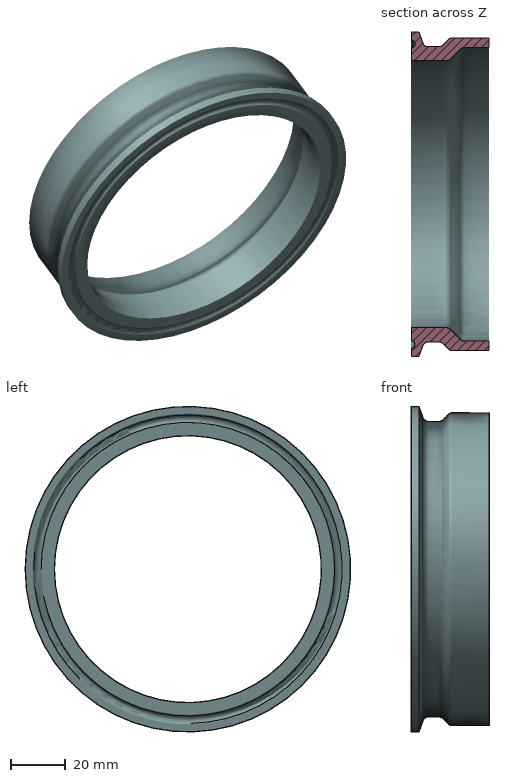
import cadquery as cq
import math

length = 28.5
flange_radius = 118.9 / 2
neck_radius = 108.1 / 2
collar_radius = 114.3 / 2
bore_radius = 97.4 / 2

rim_width = 2.9
flange_back_angle = math.radians(20)
flange_fillet = 1.7
neck_end = 10.5
collar_start = 14.7
shoulder_fillet = 1.5

groove_outer_radius = 56.4
groove_inner_radius = 53.5
groove_depth = 1.3
groove_edge_fillet = 0.5

wide_bore_radius = 107.0 / 2
bore_step_start = 13.7
bore_step_end = bore_step_start + wide_bore_radius - bore_radius

edge_tolerance = 0.01


def revolve_about_x(profile):
    return profile.revolve(360, (0, 0, 0), (1, 0, 0))


def ring_edge(body, x, radius):
    """Circular edge of the body at a given place along X and radius."""
    low = (x - edge_tolerance, -radius - edge_tolerance, -radius - edge_tolerance)
    high = (x + edge_tolerance, radius + edge_tolerance, radius + edge_tolerance)
    inside = body.edges(cq.selectors.BoxSelector(low, high, boundingbox=True))
    return inside.edges(cq.selectors.RadiusNthSelector(-1))


def make_ring():
    neck_start = rim_width + (flange_radius - neck_radius) * math.tan(flange_back_angle)
    shoulder_rise = collar_radius - neck_radius
    shoulder_middle = (neck_end + collar_start) / 2
    cone_start = shoulder_middle - shoulder_rise / 2
    cone_end = shoulder_middle + shoulder_rise / 2
    ring = revolve_about_x(
        cq.Workplane("XY")
        .moveTo(0, bore_radius)
        .lineTo(0, flange_radius)
        .lineTo(rim_width, flange_radius)
        .lineTo(neck_start, neck_radius)
        .lineTo(cone_start, neck_radius)
        .lineTo(cone_end, collar_radius)
        .lineTo(length, collar_radius)
        .lineTo(length, wide_bore_radius)
        .lineTo(bore_step_end, wide_bore_radius)
        .lineTo(bore_step_start, bore_radius)
        .close()
    )
    ring = ring_edge(ring, neck_start, neck_radius).fillet(flange_fillet)
    ring = ring_edge(ring, cone_start, neck_radius).fillet(shoulder_fillet)
    ring = ring_edge(ring, cone_end, collar_radius).fillet(shoulder_fillet)
    ring = ring_edge(ring, bore_step_start, bore_radius).fillet(shoulder_fillet)
    return ring_edge(ring, bore_step_end, wide_bore_radius).fillet(shoulder_fillet)


def cut_face_groove(ring):
    groove_middle = (groove_outer_radius + groove_inner_radius) / 2
    groove = revolve_about_x(
        cq.Workplane("XY")
        .moveTo(0, groove_inner_radius)
        .threePointArc((groove_depth, groove_middle), (0, groove_outer_radius))
        .close()
    )
    ring = ring.cut(groove)
    for radius in (groove_inner_radius, groove_outer_radius):
        ring = ring_edge(ring, 0, radius).fillet(groove_edge_fillet)
    return ring


result = cut_face_groove(make_ring())